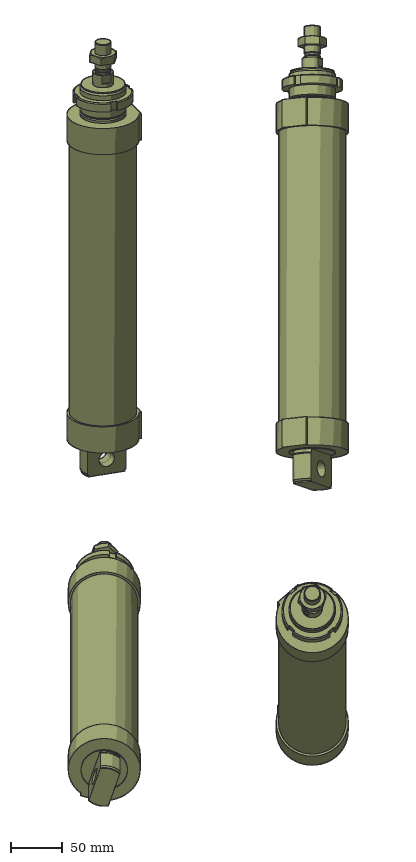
import cadquery as cq
import math

TOTAL_LENGTH = 454.0
CAP_LENGTH = 27.5
REAR_CAP_BASE = 33.5
FRONT_CAP_TOP = 377.5
COLLAR_TOP = 409.5

CAP_DIAMETER = 70.0
TUBE_DIAMETER = 65.5
PORT_PAD_WIDTH = 27.0
SPIGOT_DIAMETER = 45.0
RIM_LENGTH = 1.5
RIM_TAPER = 2.0
GROOVE_DIAMETER = 42.5
COLLAR_GROOVE_BASE = 379.5
COLLAR_GROOVE_TOP = 383.0

CLEVIS_THICKNESS = 20.0
CLEVIS_SHOULDER = 32.5
CLEVIS_NECK_BASE = 29.5
CLEVIS_NECK_TAPER = 1.5
CLEVIS_HOLE_DIAMETER = 16.0
CLEVIS_HOLE_HEIGHT = 16.0

ROD_DIAMETER = 20.0
ROD_TOP = 422.5
ROD_FLATS_WIDTH = 17.5
ROD_FLATS_LENGTH = 8.5
THREAD_DIAMETER = 16.0
UNDERCUT_DIAMETER = 14.5
UNDERCUT_BASE = 424.0
UNDERCUT_TOP = 428.0
UNDERCUT_TAPER = 1.0
THREAD_TIP_CHAMFER = 0.7

ROD_NUT_SIDES = 6
ROD_NUT_ACROSS_FLATS = 24.0
ROD_NUT_BASE = 434.5
ROD_NUT_HEIGHT = 8.0
ROD_NUT_CHAMFER_HEIGHT = 1.15

RING_NUT_DIAMETER = 58.5
RING_NUT_BASE = 392.5
RING_NUT_HEIGHT = 9.0
RING_NUT_CHAMFER_RADIAL = 1.5
RING_NUT_CHAMFER_HEIGHT = 1.0
SLOT_COUNT = 4
SLOT_WIDTH = 7.0
SLOT_DEPTH = 2.5

REAR_CAP_TOP = REAR_CAP_BASE + CAP_LENGTH
FRONT_CAP_BASE = FRONT_CAP_TOP - CAP_LENGTH
ROD_BASE = FRONT_CAP_BASE


def cylinder(diameter, bottom, top):
    return cq.Workplane("XY").workplane(offset=bottom).circle(diameter / 2).extrude(top - bottom)


def revolved(profile):
    """Turn a list of (radius, height) points around the Z axis."""
    return cq.Workplane("XZ").polyline(profile).close().revolve(360, (0, 0, 0), (0, 1, 0))


def box(width, depth, bottom, top):
    """Box centred on the Z axis, with its height range given."""
    return (
        cq.Workplane("XY").workplane(offset=bottom)
        .rect(width, depth).extrude(top - bottom)
    )


def end_cap(bottom):
    """Round cap with a flat port pad, tangent to its rim, on the +Y side."""
    top = bottom + CAP_LENGTH
    pad = box(PORT_PAD_WIDTH, CAP_DIAMETER / 2, bottom, top).translate((0, CAP_DIAMETER / 4, 0))
    return cylinder(CAP_DIAMETER, bottom, top).union(pad)


def collar():
    """Collar on the front cap, with a groove near its foot and a tapered rim."""
    radius = SPIGOT_DIAMETER / 2
    groove_radius = GROOVE_DIAMETER / 2
    taper = radius - groove_radius
    return revolved([
        (0, FRONT_CAP_TOP),
        (radius, FRONT_CAP_TOP),
        (radius, COLLAR_GROOVE_BASE),
        (groove_radius, COLLAR_GROOVE_BASE + taper),
        (groove_radius, COLLAR_GROOVE_TOP - taper),
        (radius, COLLAR_GROOVE_TOP),
        (radius, COLLAR_TOP - RIM_LENGTH - RIM_TAPER),
        (groove_radius, COLLAR_TOP - RIM_LENGTH),
        (groove_radius, COLLAR_TOP),
        (0, COLLAR_TOP),
    ])


def clevis():
    """Round spigot cut to a flat eye with a cross hole along X."""
    radius = SPIGOT_DIAMETER / 2
    neck_radius = GROOVE_DIAMETER / 2
    turned = revolved([
        (0, 0),
        (neck_radius, 0),
        (neck_radius, RIM_LENGTH),
        (radius, RIM_LENGTH + RIM_TAPER),
        (radius, CLEVIS_NECK_BASE - CLEVIS_NECK_TAPER),
        (neck_radius, CLEVIS_NECK_BASE),
        (neck_radius, REAR_CAP_BASE),
        (0, REAR_CAP_BASE),
    ])
    eye = turned.intersect(box(CLEVIS_THICKNESS, SPIGOT_DIAMETER, 0, REAR_CAP_BASE))
    shoulder = cylinder(SPIGOT_DIAMETER, CLEVIS_SHOULDER, REAR_CAP_BASE)
    hole = (
        cq.Workplane("YZ").center(0, CLEVIS_HOLE_HEIGHT)
        .circle(CLEVIS_HOLE_DIAMETER / 2).extrude(CLEVIS_THICKNESS / 2, both=True)
    )
    return eye.union(shoulder).cut(hole)


def make_housing():
    rod_bore = cylinder(ROD_DIAMETER, ROD_BASE, COLLAR_TOP)
    return (
        cylinder(TUBE_DIAMETER, REAR_CAP_TOP, FRONT_CAP_BASE)
        .union(end_cap(REAR_CAP_BASE))
        .union(end_cap(FRONT_CAP_BASE))
        .union(collar())
        .union(clevis())
        .cut(rod_bore)
    )


def make_rod():
    """Rod with wrench flats facing X, then an undercut and the threaded end."""
    shank = cylinder(ROD_DIAMETER, ROD_BASE, ROD_TOP - ROD_FLATS_LENGTH)
    flats = cylinder(ROD_DIAMETER, ROD_TOP - ROD_FLATS_LENGTH, ROD_TOP).intersect(
        box(ROD_FLATS_WIDTH, ROD_DIAMETER, ROD_TOP - ROD_FLATS_LENGTH, ROD_TOP)
    )
    threaded_end = revolved([
        (0, ROD_TOP),
        (THREAD_DIAMETER / 2, ROD_TOP),
        (THREAD_DIAMETER / 2, UNDERCUT_BASE),
        (UNDERCUT_DIAMETER / 2, UNDERCUT_BASE + UNDERCUT_TAPER),
        (UNDERCUT_DIAMETER / 2, UNDERCUT_TOP - UNDERCUT_TAPER),
        (THREAD_DIAMETER / 2, UNDERCUT_TOP),
        (THREAD_DIAMETER / 2, TOTAL_LENGTH - THREAD_TIP_CHAMFER),
        (THREAD_DIAMETER / 2 - THREAD_TIP_CHAMFER, TOTAL_LENGTH),
        (0, TOTAL_LENGTH),
    ])
    return shank.union(flats).union(threaded_end)


def make_rod_nut():
    """Hexagon with flats facing X and a bevel on the upper corners."""
    half_side_angle = 180 / ROD_NUT_SIDES
    corner_radius = ROD_NUT_ACROSS_FLATS / 2 / math.cos(math.radians(half_side_angle))
    top = ROD_NUT_BASE + ROD_NUT_HEIGHT
    hexagon = (
        cq.Workplane("XY").workplane(offset=ROD_NUT_BASE)
        .polygon(ROD_NUT_SIDES, 2 * corner_radius).extrude(ROD_NUT_HEIGHT)
        .rotate((0, 0, 0), (0, 0, 1), half_side_angle)
    )
    bevel = revolved([
        (0, ROD_NUT_BASE),
        (corner_radius, ROD_NUT_BASE),
        (corner_radius, top - ROD_NUT_CHAMFER_HEIGHT),
        (ROD_NUT_ACROSS_FLATS / 2, top),
        (0, top),
    ])
    return hexagon.intersect(bevel).cut(cylinder(THREAD_DIAMETER, ROD_NUT_BASE, top))


def make_ring_nut():
    """Ring with a bevelled upper rim and wrench slots facing X and Y."""
    top = RING_NUT_BASE + RING_NUT_HEIGHT
    inner_radius = SPIGOT_DIAMETER / 2
    outer_radius = RING_NUT_DIAMETER / 2
    ring = revolved([
        (inner_radius, RING_NUT_BASE),
        (outer_radius, RING_NUT_BASE),
        (outer_radius, top - RING_NUT_CHAMFER_HEIGHT),
        (outer_radius - RING_NUT_CHAMFER_RADIAL, top),
        (inner_radius, top),
    ])
    slot = box(2 * SLOT_DEPTH, SLOT_WIDTH, RING_NUT_BASE, top).translate((outer_radius, 0, 0))
    for index in range(SLOT_COUNT):
        ring = ring.cut(slot.rotate((0, 0, 0), (0, 0, 1), index * 360 / SLOT_COUNT))
    return ring


housing = make_housing()
rod = make_rod()
rod_nut = make_rod_nut()
ring_nut = make_ring_nut()

result = cq.Compound.makeCompound([housing.val(), rod.val(), rod_nut.val(), ring_nut.val()])